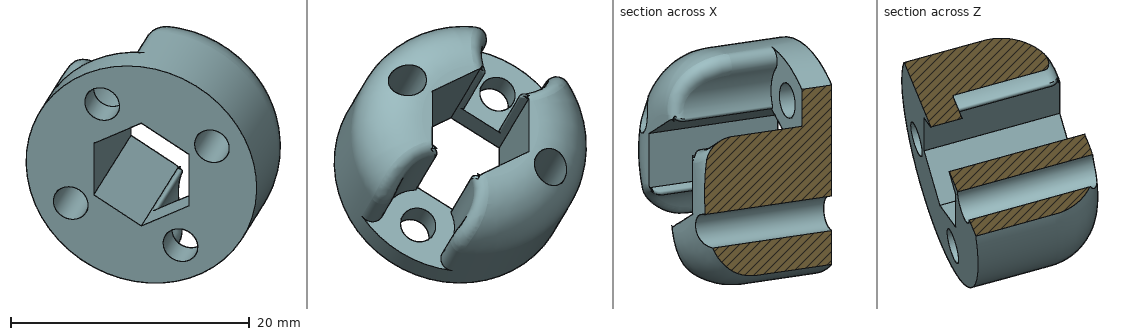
import cadquery as cq
import math

body_radius = 10.0
body_length = 12.0
dome_radius = 5.0

hex_across_flats = 8.25
hex_apothem = hex_across_flats / 2
hex_side = hex_across_flats / math.sqrt(3)
hex_corner_diameter = 2 * hex_side

screw_hole_radius = 1.5
screw_pitch_radius = 7.0
screw_angles = (29.0, 119.0, 209.0, 299.0)

pockets = ((119.0, 120.0), (299.0, 300.0))
pocket_radius = 3.1
pocket_floor = 2.8
rim_rounding = 1.0
window_rounding = 0.2
rim_start = body_length - rim_rounding
flare_shares = (0.0, 0.3, 0.6, 0.8)


def cylinder(x, z, radius, start, end):
    """Cylinder along Y, between two heights."""
    solid = cq.Solid.makeCylinder(radius, end - start, cq.Vector(x, start, z), cq.Vector(0, 1, 0))
    return cq.Workplane(obj=solid)


def turn(shape, angle):
    """Turn a shape about the Y axis, taking +X toward +Z."""
    return shape.rotate((0, 0, 0), (0, 1, 0), -angle)


def screw_center(angle):
    radians = math.radians(angle)
    return screw_pitch_radius * math.cos(radians), screw_pitch_radius * math.sin(radians)


def make_pocketed_dome():
    """Dome with both pockets, every outer edge of the pockets rounded.

    The core lies one rim rounding inside the final surface. Growing it back with round
    corners restores the faces and rounds all its sharp outer edges.
    """
    core = cylinder(0, 0, body_radius - rim_rounding, rim_rounding, rim_start)
    core = core.faces(">Y").edges().fillet(dome_radius - rim_rounding)
    for screw_angle, _ in pockets:
        x, z = screw_center(screw_angle)
        core = core.cut(cylinder(x, z, pocket_radius + rim_rounding, 0, body_length))
    grown = core.shell(rim_rounding, "arc").union(core)
    return grown.intersect(cylinder(0, 0, 2 * body_radius, pocket_floor, body_length))


def pocket_radius_at(height):
    """Radius of the pocket at a height, including the flare of its rounded rim."""
    rise = max(0.0, height - rim_start)
    return pocket_radius + rim_rounding - math.sqrt(rim_rounding**2 - rise**2)


def window_outline(height, center_distance, center_offset):
    """Space that rounds both edges of a window at one height.

    Here X runs outward along the normal of the bore flat. A small circle on each side
    touches both the flat and the pocket wall; its arc replaces the sharp edge.
    """
    radius = pocket_radius_at(height)
    depth = center_distance - hex_apothem - window_rounding
    half_width = math.sqrt((radius + window_rounding) ** 2 - depth**2)
    touch = radius / (radius + window_rounding)
    wall_x = center_distance - depth * touch
    wall_touch = half_width * touch

    chord_x = (wall_x - hex_apothem) / 2 - window_rounding
    chord_z = (wall_touch - half_width) / 2
    stretch = window_rounding / math.hypot(chord_x, chord_z)
    arc_x = hex_apothem + window_rounding + chord_x * stretch
    arc_z = half_width + chord_z * stretch

    def corner(x, z):
        return cq.Vector(x, height, center_offset + z)

    edges = [
        cq.Edge.makeLine(corner(hex_apothem, -half_width), corner(hex_apothem, half_width)),
        cq.Edge.makeThreePointArc(
            corner(hex_apothem, half_width), corner(arc_x, arc_z), corner(wall_x, wall_touch)
        ),
        cq.Edge.makeLine(corner(wall_x, wall_touch), corner(wall_x, -wall_touch)),
        cq.Edge.makeThreePointArc(
            corner(wall_x, -wall_touch), corner(arc_x, -arc_z), corner(hex_apothem, -half_width)
        ),
    ]
    return cq.Wire.assembleEdges(edges)


def make_window_tool(screw_angle, flat_angle):
    """Space of one window, straight up to the pocket rim and then widening with its flare."""
    skew = math.radians(screw_angle - flat_angle)
    center = (screw_pitch_radius * math.cos(skew), screw_pitch_radius * math.sin(skew))

    straight = cq.Solid.makeLoft(
        [window_outline(pocket_floor, *center), window_outline(rim_start, *center)], True
    )
    flare_heights = [rim_start + rim_rounding * share for share in flare_shares]
    flare = cq.Solid.makeLoft([window_outline(height, *center) for height in flare_heights])
    tool = cq.Workplane(obj=straight).union(cq.Workplane(obj=flare))

    flat_zone = cq.Workplane("XY").box(2 * body_radius, 2 * body_length, hex_side)
    return turn(tool.intersect(flat_zone), flat_angle)


def make_hex_bore():
    prism = cq.Workplane("XZ").polygon(6, hex_corner_diameter).extrude(-body_length)
    half_sector = 30
    return turn(prism, half_sector)


base = cylinder(0, 0, body_radius, 0, pocket_floor)
body = base.union(make_pocketed_dome()).cut(make_hex_bore())
for screw_angle, flat_angle in pockets:
    body = body.cut(make_window_tool(screw_angle, flat_angle))
for angle in screw_angles:
    body = body.cut(cylinder(*screw_center(angle), screw_hole_radius, 0, body_length))

result = body